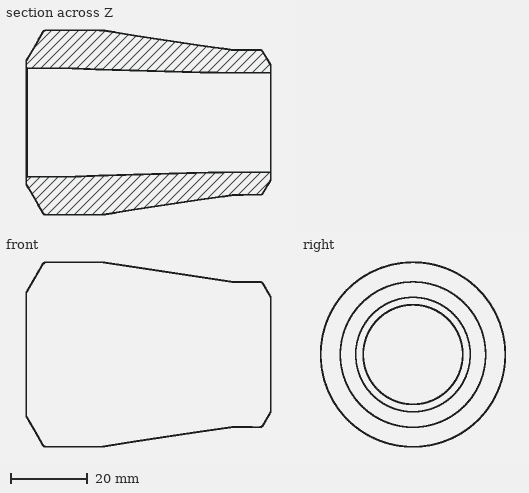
import cadquery as cq
import math

length = 64.0
large_diameter = 48.3
small_diameter = 38.0
large_bore = 28.3
small_bore = 26.0
bore_end_length = 12.0
large_length = 20.0
small_length = 10.0
large_land = 2.0
small_land = 2.0
bevel_angle = 30.0
bevel_round = 1.0
mouth_chamfer = 0.25

large_radius = large_diameter / 2
small_radius = small_diameter / 2
large_bore_radius = large_bore / 2
small_bore_radius = small_bore / 2
large_face_radius = large_bore_radius + large_land
small_face_radius = small_bore_radius + small_land
taper_start = large_length
taper_end = length - small_length
bore_taper_end = length - bore_end_length
bevel_slope = math.tan(math.radians(bevel_angle))
large_bevel_depth = (large_radius - large_face_radius) * bevel_slope
small_bevel_depth = (small_radius - small_face_radius) * bevel_slope


def revolve_profile(points):
    """Turn a closed (x, radius) outline around the X axis."""
    return cq.Workplane("XZ").polyline(points).close().revolve(360, (0, 0, 0), (1, 0, 0))


def ring_at(x, radius):
    """Selector for the circular edge of a given radius at position x."""
    margin = 0.05
    return cq.selectors.BoxSelector(
        (x - margin, -radius - margin, -radius - margin),
        (x + margin, radius + margin, radius + margin),
        boundingbox=True,
    )


body = revolve_profile([
    (0, 0),
    (0, large_face_radius),
    (large_bevel_depth, large_radius),
    (taper_start, large_radius),
    (taper_end, small_radius),
    (length - small_bevel_depth, small_radius),
    (length, small_face_radius),
    (length, 0),
])

body = body.edges(ring_at(large_bevel_depth, large_radius)).fillet(bevel_round)
body = body.edges(ring_at(length - small_bevel_depth, small_radius)).fillet(bevel_round)

bore = revolve_profile([
    (0, 0),
    (0, large_bore_radius + mouth_chamfer),
    (mouth_chamfer, large_bore_radius),
    (bore_end_length, large_bore_radius),
    (bore_taper_end, small_bore_radius),
    (length, small_bore_radius),
    (length, 0),
])

result = body.cut(bore)